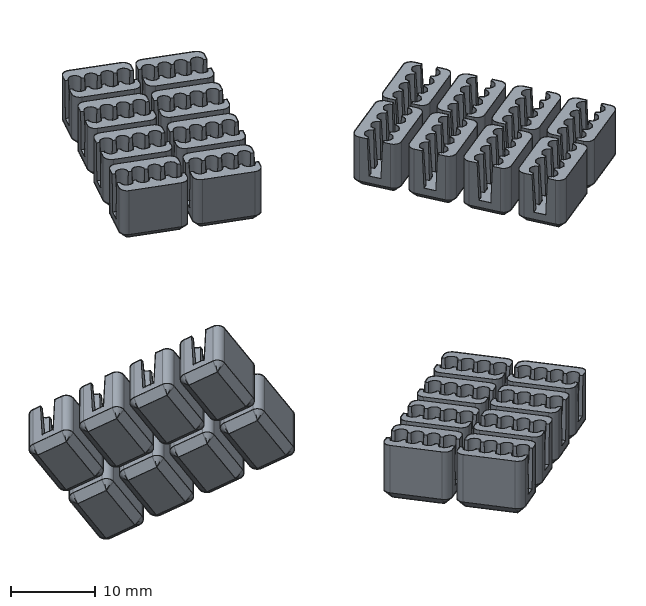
import cadquery as cq
import math

TOTAL_X = 27.0
TOTAL_Y = 17.45
COLUMNS = 4
ROWS = 2

BLOCK_WIDTH = 6.0
BLOCK_LENGTH = 8.42
BLOCK_HEIGHT = 7.2
CORNER_RADIUS = 1.0
BOTTOM_CHAMFER = CORNER_RADIUS

FLOOR_THICKNESS = 2.0
DRAFT_ANGLE = 2.5
SLOT_TOP_WIDTH = 1.97
SCALLOP_TOP_RADIUS = 0.78
SCALLOP_OFFSET_X = 0.97
SCALLOP_PITCH = 2.0
SCALLOPS_PER_SIDE = 4

column_pitch = (TOTAL_X - BLOCK_WIDTH) / (COLUMNS - 1)
row_pitch = (TOTAL_Y - BLOCK_LENGTH) / (ROWS - 1)
channel_depth = BLOCK_HEIGHT - FLOOR_THICKNESS
draft_inset = channel_depth * math.tan(math.radians(DRAFT_ANGLE))


def centred_positions(count, pitch):
    """Evenly spaced positions, symmetric about zero."""
    return [(i - (count - 1) / 2) * pitch for i in range(count)]


def make_bar(plane, width, length):
    """Bar through the block centre with chamfered lower edges along its length."""
    half_width = width / 2
    return (
        cq.Workplane(plane)
        .polyline([
            (BOTTOM_CHAMFER - half_width, 0),
            (half_width - BOTTOM_CHAMFER, 0),
            (half_width, BOTTOM_CHAMFER),
            (half_width, BLOCK_HEIGHT),
            (-half_width, BLOCK_HEIGHT),
            (-half_width, BOTTOM_CHAMFER),
        ])
        .close()
        .extrude(length / 2, both=True)
    )


def make_corner_post():
    """Round post with a pointed foot, filling one corner of the block."""
    return (
        cq.Workplane("XZ")
        .polyline([
            (0, 0),
            (CORNER_RADIUS, BOTTOM_CHAMFER),
            (CORNER_RADIUS, BLOCK_HEIGHT),
            (0, BLOCK_HEIGHT),
        ])
        .close()
        .revolve(360, (0, 0, 0), (0, 1, 0))
    )


def make_body():
    """Rounded upright prism with a chamfered underside, built from crossing bars and corner posts."""
    core_width = BLOCK_WIDTH - 2 * CORNER_RADIUS
    core_length = BLOCK_LENGTH - 2 * CORNER_RADIUS
    body = make_bar("XZ", BLOCK_WIDTH, core_length)
    body = body.union(make_bar("YZ", BLOCK_LENGTH, core_width))
    post = make_corner_post()
    for x in (-core_width / 2, core_width / 2):
        for y in (-core_length / 2, core_length / 2):
            body = body.union(post.translate((x, y, 0)))
    return body.clean()


def make_slot():
    """Slot through the full length, narrowing toward its floor."""
    half_top = SLOT_TOP_WIDTH / 2
    half_floor = half_top - draft_inset
    return (
        cq.Workplane("XZ")
        .polyline([
            (-half_floor, FLOOR_THICKNESS),
            (half_floor, FLOOR_THICKNESS),
            (half_top, BLOCK_HEIGHT),
            (-half_top, BLOCK_HEIGHT),
        ])
        .close()
        .extrude(BLOCK_LENGTH / 2, both=True)
    )


def make_scallop(x, y):
    """Conical pocket that narrows toward the channel floor."""
    return cq.Workplane(cq.Solid.makeCone(
        SCALLOP_TOP_RADIUS - draft_inset,
        SCALLOP_TOP_RADIUS,
        channel_depth,
        pnt=cq.Vector(x, y, FLOOR_THICKNESS),
    ))


def make_block():
    """One complete block with its scalloped channel."""
    block = make_body().cut(make_slot())
    for x in (-SCALLOP_OFFSET_X, SCALLOP_OFFSET_X):
        for y in centred_positions(SCALLOPS_PER_SIDE, SCALLOP_PITCH):
            block = block.cut(make_scallop(x, y))
    return block


block_solid = make_block().solids().val()

blocks = []
for x in centred_positions(COLUMNS, column_pitch):
    for y in centred_positions(ROWS, row_pitch):
        blocks.append(block_solid.moved(cq.Location(cq.Vector(x, y, 0))))

result = cq.Compound.makeCompound(blocks)